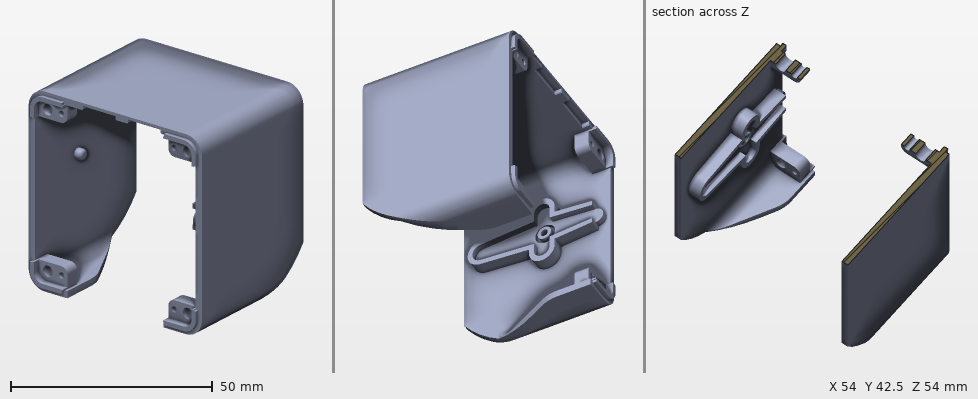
import cadquery as cq
import math

SIZE = 54.0
HALF = SIZE / 2
DEPTH = 41.45
WALL = 1.95
CORNER_R = 5.0
FLOOR_STRIP = 12.05
FLARE_START = 12.1
FLARE_END = 31.55
FLARE_R = 10.0

CUT_R = 28.55
CUT_TANGENT_Y = 18.3

BLOCK_X = 11.3
BLOCK_Z = 7.65
BLOCK_DEPTH = 4.0
BLOCK_SETBACK = 1.0
BLOCK_ROUND = 2.0
HOLE_D = 3.0
PILOT_D = 1.6
HOLE_INSET = 5.2
PILOT_INSET = 9.45
TONGUE_HEIGHT = 1.0
TONGUE_OUTER = 1.2
TONGUE_INNER = 2.45
TONGUE_GAP = 0.2

PIVOT_Y = 17.5
PIVOT_Z = 3.55
PIN_D = 3.0
PIN_LENGTH = 2.2
PIN_ROUND = 0.95

SEAT_HEIGHT = 3.5
SEAT_FLOOR = 1.75
FRONT_LENGTH = 14.25
REAR_LENGTH = 17.1
SEAT_TIP = 10.05
SEAT_HALF_WIDTH = 3.6
SEAT_FRONT = (4.5, 3.5)
SEAT_REAR = (5.0, 3.9)
POCKET_TIP = 8.4
POCKET_HALF_WIDTH = 2.15
POCKET_FRONT = (3.15, 2.15)
POCKET_REAR = (3.65, 2.55)
HUB_D = 3.8
HUB_HOLE_D = 2.0
HUB_RISE = 0.55
HUB_GROOVE_D = 5.6
HUB_GROOVE_DEPTH = 1.0

NOTCH_WIDTH = 10.15
NOTCH_STARTS = (-10.1, 3.95)
NOTCH_SKIN = 0.7
NOTCH_DEPTH = 2.0
NOTCH_CHAMFER = 0.25


def rounded_bar(offset, y0, y1):
    """Square bar along Y whose skin lies the given offset inside the outer skin."""
    side = SIZE - 2 * offset
    bar = cq.Workplane("XY").box(side, y1 - y0, side).edges("|Y").fillet(CORNER_R - offset)
    return bar.translate((0, (y0 + y1) / 2, 0))


def floor_opening():
    """Opening between the floor strips, flaring out to the side walls toward the rear."""
    straight = HALF - FLOOR_STRIP
    flared = HALF - WALL
    opening = (
        cq.Workplane("XY")
        .moveTo(straight, 0)
        .lineTo(straight, FLARE_START)
        .lineTo(flared, FLARE_END)
        .lineTo(flared, DEPTH)
        .lineTo(-flared, DEPTH)
        .lineTo(-flared, FLARE_END)
        .lineTo(-straight, FLARE_START)
        .lineTo(-straight, 0)
        .close()
        .extrude(-HALF)
    )
    for side in (-1, 1):
        bend = cq.selectors.NearestToPointSelector((side * straight, FLARE_START, -HALF / 2))
        opening = opening.edges("|Z").edges(bend).fillet(FLARE_R)
    return opening


def shell():
    body = rounded_bar(0, 0, DEPTH).cut(rounded_bar(WALL, 0, DEPTH))
    return body.cut(floor_opening())


def rear_corner_cut():
    """Material below the arc that runs from the floor up to the rear edge."""
    center_z = CUT_R - HALF
    rear_z = center_z - math.sqrt(CUT_R**2 - (DEPTH - CUT_TANGENT_Y) ** 2)
    middle = math.atan2(rear_z - center_z, DEPTH - CUT_TANGENT_Y) / 2 - math.pi / 4
    return (
        cq.Workplane("YZ")
        .moveTo(CUT_TANGENT_Y, -HALF)
        .threePointArc(
            (CUT_TANGENT_Y + CUT_R * math.cos(middle), center_z + CUT_R * math.sin(middle)),
            (DEPTH, rear_z),
        )
        .lineTo(DEPTH, -HALF)
        .close()
        .extrude(HALF, both=True)
    )


def corner_zone(reach_x, reach_z, y0, y1):
    """Box in the upper right corner of the shell."""
    zone = cq.Workplane("XY").box(reach_x, y1 - y0, reach_z, centered=False)
    return zone.translate((HALF - reach_x, y0, HALF - reach_z))


def tongue(offset_out, offset_in, shortfall, y_back):
    """Raised lip between two skin offsets, stopping short of the block ends."""
    ring = rounded_bar(offset_out, -TONGUE_HEIGHT, y_back)
    ring = ring.cut(rounded_bar(offset_in, -TONGUE_HEIGHT, y_back))
    zone = corner_zone(BLOCK_X - shortfall, BLOCK_Z - shortfall, -TONGUE_HEIGHT, y_back)
    return ring.intersect(zone)


def corner_block():
    """Upper right block with its tongue and two holes."""
    back = BLOCK_SETBACK + BLOCK_DEPTH
    zone = corner_zone(BLOCK_X, BLOCK_Z, BLOCK_SETBACK, back)
    zone = zone.edges("|Y and <X and <Z").fillet(BLOCK_ROUND)
    block = zone.intersect(rounded_bar(TONGUE_OUTER, BLOCK_SETBACK, back))
    block = block.union(tongue(TONGUE_OUTER, WALL, TONGUE_GAP, BLOCK_SETBACK))
    block = block.union(tongue(WALL, TONGUE_INNER, 0, BLOCK_SETBACK))
    for inset, diameter in ((HOLE_INSET, HOLE_D), (PILOT_INSET, PILOT_D)):
        axis = cq.Workplane("XZ", origin=(HALF - inset, back, HALF - HOLE_INSET))
        hole = axis.circle(diameter / 2).extrude(back)
        block = block.cut(hole)
    return block


def pivot_pin():
    pin = cq.Workplane("YZ").circle(PIN_D / 2).extrude(PIN_LENGTH)
    pin = pin.faces(">X").edges().fillet(PIN_ROUND)
    return pin.translate((WALL - HALF, PIVOT_Y, PIVOT_Z))


def cross(tip, half_width, front_arm, rear_arm, thickness):
    """Cross-shaped plate standing off the YZ plane toward -X, centred on the pivot."""
    front_root, front_end = front_arm
    rear_root, rear_end = rear_arm
    upright = cq.Workplane("YZ").slot2D(2 * tip, 2 * half_width, 90).extrude(-thickness)
    long_arms = (
        cq.Workplane("YZ")
        .moveTo(-FRONT_LENGTH, -front_end)
        .lineTo(-half_width, -front_root)
        .lineTo(half_width, -rear_root)
        .lineTo(REAR_LENGTH, -rear_end)
        .threePointArc((REAR_LENGTH + rear_end, 0), (REAR_LENGTH, rear_end))
        .lineTo(half_width, rear_root)
        .lineTo(-half_width, front_root)
        .lineTo(-FRONT_LENGTH, front_end)
        .close()
        .extrude(-thickness)
    )
    return upright.union(long_arms)


def disc(diameter, base, height):
    """Disc on the pivot axis, standing toward -X from the given base height."""
    return cq.Workplane("YZ", origin=(-base, 0, 0)).circle(diameter / 2).extrude(-height)


def horn_seat():
    seat = cross(SEAT_TIP, SEAT_HALF_WIDTH, SEAT_FRONT, SEAT_REAR, SEAT_HEIGHT)
    pocket = cross(POCKET_TIP, POCKET_HALF_WIDTH, POCKET_FRONT, POCKET_REAR, SEAT_HEIGHT - SEAT_FLOOR)
    seat = seat.cut(pocket.translate((-SEAT_FLOOR, 0, 0)))
    front_lip = disc(2 * POCKET_FRONT[1], 0, SEAT_FLOOR)
    seat = seat.union(front_lip.translate((0, -FRONT_LENGTH, 0)))
    groove_base = SEAT_FLOOR - HUB_GROOVE_DEPTH
    seat = seat.cut(disc(HUB_GROOVE_D, groove_base, HUB_GROOVE_DEPTH))
    seat = seat.union(disc(HUB_D, groove_base, HUB_GROOVE_DEPTH + HUB_RISE))
    seat = seat.cut(disc(HUB_HOLE_D, 0, SEAT_HEIGHT))
    return seat.translate((HALF - WALL, PIVOT_Y, PIVOT_Z))


def latch_notch(start):
    """Notch under the top wall, open at the rim and inward, with chamfered lower corners."""
    inner = HALF - WALL
    roof = HALF - NOTCH_SKIN
    end = start + NOTCH_WIDTH
    return (
        cq.Workplane("XZ")
        .moveTo(start - NOTCH_CHAMFER, inner)
        .lineTo(start, inner + NOTCH_CHAMFER)
        .lineTo(start, roof)
        .lineTo(end, roof)
        .lineTo(end, inner + NOTCH_CHAMFER)
        .lineTo(end + NOTCH_CHAMFER, inner)
        .close()
        .extrude(-NOTCH_DEPTH)
    )


result = shell()
upper_right = corner_block()
right_pair = upper_right.union(upper_right.mirror("XY"))
result = result.union(right_pair).union(right_pair.mirror("YZ"))
result = result.cut(rear_corner_cut())
result = result.union(pivot_pin()).union(horn_seat())
for notch_start in NOTCH_STARTS:
    result = result.cut(latch_notch(notch_start))